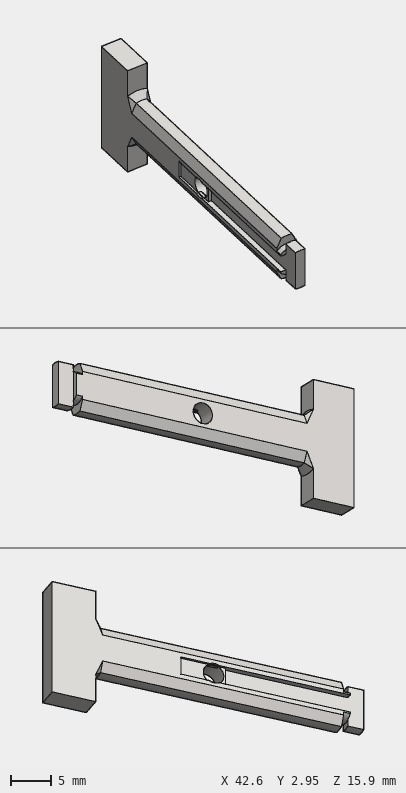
import cadquery as cq
import math

length = 42.55
thickness = 2.95
half_thickness = thickness / 2

bar_length = 5.9
bar_height = 15.9

shaft_diameter = 6.6
shaft_radius = shaft_diameter / 2
shaft_end_x = 39.5
front_flat_half_height = 1.87
ridge_half_width = 0.8
flare = 0.95
flare_end_x = bar_length + flare

neck_diameter = 4.15
neck_radius = neck_diameter / 2
tab_start_x = 40.4
tab_thickness = 1.45
tab_radius = 2.95

groove_height = 2.45
groove_start_x = 17.45
deep_start_x = 23.63
shallow_depth = 0.3
deep_depth = (thickness - tab_thickness) / 2
cross_hole_x = 22.0
cross_hole_diameter = 2.75


def round_bar(start_x, end_x, radius):
    return cq.Workplane("YZ", origin=(start_x, 0, 0)).circle(radius).extrude(end_x - start_x)


def slab(start_x, end_x, depth, height):
    """Block centred on the X axis in Y and Z."""
    return cq.Workplane("XY").box(end_x - start_x, depth, height).translate(((start_x + end_x) / 2, 0, 0))


def facet_diamond(half_width, half_height):
    return [(half_width, 0), (0, half_height), (-half_width, 0), (0, -half_height)]


def make_shaft():
    """Flared shaft: the facets and the round ridges all widen by the flare at the crossbar."""
    flared_radius = shaft_radius + flare
    round_body = (
        cq.Workplane("XY")
        .moveTo(bar_length, 0)
        .lineTo(bar_length, flared_radius)
        .lineTo(flare_end_x, shaft_radius)
        .lineTo(shaft_end_x, shaft_radius)
        .lineTo(shaft_end_x, 0)
        .close()
        .revolve(360, (0, 0, 0), (1, 0, 0))
    )

    ridge_half_height = math.sqrt(shaft_radius**2 - ridge_half_width**2)
    facet_rise = ridge_half_height - front_flat_half_height
    facet_run = half_thickness - ridge_half_width
    half_height = front_flat_half_height + half_thickness * facet_rise / facet_run
    half_width = half_height * facet_run / facet_rise
    facet_distance = half_height * facet_run / math.hypot(facet_rise, facet_run)
    flare_scale = 1 + flare / facet_distance

    facet_body = (
        cq.Workplane("YZ", origin=(flare_end_x, 0, 0))
        .polyline(facet_diamond(half_width, half_height))
        .close()
        .extrude(shaft_end_x - flare_end_x)
    )
    facet_flare = (
        cq.Workplane("YZ", origin=(bar_length, 0, 0))
        .polyline(facet_diamond(half_width * flare_scale, half_height * flare_scale))
        .close()
        .workplane(offset=flare)
        .polyline(facet_diamond(half_width, half_height))
        .close()
        .loft(ruled=True)
    )
    flats = slab(bar_length, shaft_end_x, thickness, bar_height)
    return round_body.intersect(facet_body.union(facet_flare)).intersect(flats)


def make_groove():
    shallow = slab(groove_start_x, deep_start_x, 2 * shallow_depth, groove_height)
    deep = slab(deep_start_x, tab_start_x, 2 * deep_depth, groove_height)
    return shallow.union(deep).translate((0, -half_thickness, 0))


def make_cross_hole():
    """Round through hole, narrowed to the groove height between the two groove floors."""
    bore = (
        cq.Workplane("XZ", origin=(cross_hole_x, 0, 0))
        .circle(cross_hole_diameter / 2)
        .extrude(half_thickness, both=True)
    )
    narrow_depth = deep_depth - shallow_depth
    narrow_centre_y = -half_thickness + (shallow_depth + deep_depth) / 2
    lip_offset_z = (groove_height + bar_height) / 2
    for side in (-1, 1):
        lip = slab(0, length, narrow_depth, bar_height)
        bore = bore.cut(lip.translate((0, narrow_centre_y, side * lip_offset_z)))
    return bore


crossbar = slab(0, bar_length, thickness, bar_height)
neck = round_bar(shaft_end_x, tab_start_x, neck_radius).intersect(
    slab(shaft_end_x, tab_start_x, thickness, bar_height)
)
tab = round_bar(tab_start_x, length, tab_radius).intersect(
    slab(tab_start_x, length, tab_thickness, bar_height)
)

result = crossbar.union(make_shaft()).union(neck).union(tab).cut(make_groove()).cut(make_cross_hole())